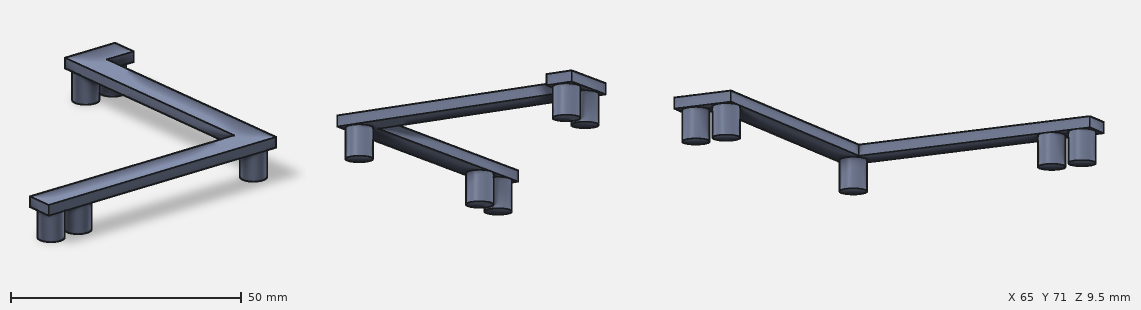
import cadquery as cq

LENGTH_X = 65.0
LENGTH_Y = 71.0
HEIGHT = 9.5

BAR_WIDTH = 6.5
BAR_THICKNESS = 2.5

PIN_DIAMETER = 6.0
PIN_HEIGHT = HEIGHT - BAR_THICKNESS
PIN_INSET = 3.5
PIN_PITCH = 7.5

CROSS_BAR_BACK = LENGTH_Y - PIN_PITCH
CROSS_BAR_FRONT = CROSS_BAR_BACK - BAR_WIDTH
LONG_LEG_LEFT = LENGTH_X - BAR_WIDTH

LEFT_PIN_X = PIN_INSET
RIGHT_PIN_X = LENGTH_X - PIN_INSET
BACK_PIN_Y = LENGTH_Y - PIN_INSET
CROSS_BAR_PIN_Y = BACK_PIN_Y - PIN_PITCH
FRONT_PIN_Y = PIN_INSET

PIN_CENTERS = [
    (LEFT_PIN_X, BACK_PIN_Y),
    (LEFT_PIN_X, CROSS_BAR_PIN_Y),
    (RIGHT_PIN_X, CROSS_BAR_PIN_Y),
    (RIGHT_PIN_X, FRONT_PIN_Y + PIN_PITCH),
    (RIGHT_PIN_X, FRONT_PIN_Y),
]


def make_bar():
    """Flat bar: short tab at the left back, cross bar, long leg at the right."""
    outline = [
        (0, LENGTH_Y),
        (0, CROSS_BAR_FRONT),
        (LONG_LEG_LEFT, CROSS_BAR_FRONT),
        (LONG_LEG_LEFT, 0),
        (LENGTH_X, 0),
        (LENGTH_X, CROSS_BAR_BACK),
        (BAR_WIDTH, CROSS_BAR_BACK),
        (BAR_WIDTH, LENGTH_Y),
    ]
    bar = cq.Workplane("XY").workplane(offset=PIN_HEIGHT)
    return bar.polyline(outline).close().extrude(BAR_THICKNESS)


def make_pins():
    """Pins that reach from Z = 0 up to the underside of the bar."""
    pins = cq.Workplane("XY").pushPoints(PIN_CENTERS)
    return pins.circle(PIN_DIAMETER / 2).extrude(PIN_HEIGHT)


result = make_bar().union(make_pins())